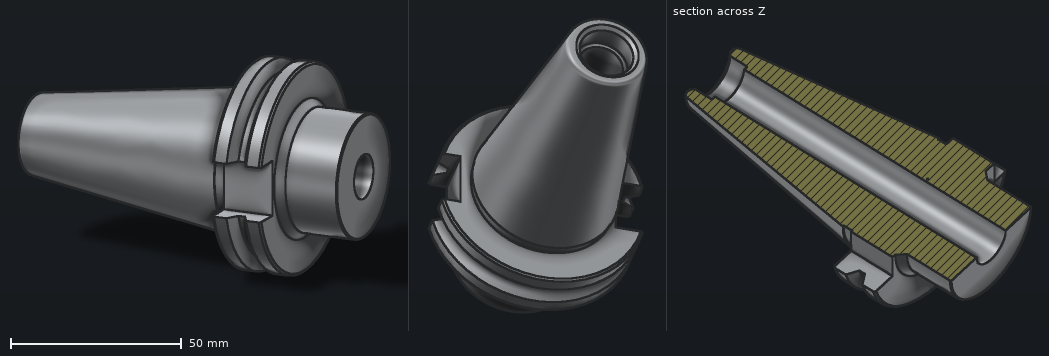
import cadquery as cq
import math

total_length = 106.4
taper_end = 68.4
flange_start = 71.6
flange_end = 87.3
shoulder_end = 89.8

gauge_diameter = 44.5
nose_diameter = 24.3
nose_fillet = 1.8
neck_diameter = 43.6

flange_diameter = 63.2
flange_chamfer = 0.6
groove_floor_diameter = 56.0
groove_center = (flange_start + flange_end) / 2
groove_floor_width = 2.1
groove_flank_angle = 60.0

slot_width = 16.6
front_slot_floor = 22.2
back_slot_floor = 24.9

hub_diameter = 37.4
shoulder_diameter = 41.9
hub_chamfer = 0.3

mouth_diameter = 18.9
pilot_diameter = 16.3
mouth_chamfer_depth = 1.1
pilot_depth = 7.5
through_diameter = 13.4


def disc(start, end, diameter):
    """Cylinder along X between two stations."""
    return cq.Workplane("YZ").workplane(offset=start).circle(diameter / 2).extrude(end - start)


def cone(start, end, start_diameter, end_diameter):
    """Truncated cone along X between two stations."""
    profile = [
        (start, 0),
        (start, start_diameter / 2),
        (end, end_diameter / 2),
        (end, 0),
    ]
    return cq.Workplane("XY").polyline(profile).close().revolve(360, (0, 0, 0), (1, 0, 0))


def make_shank():
    taper = cone(0, taper_end, nose_diameter, gauge_diameter)
    taper = taper.faces("<X").edges().fillet(nose_fillet)
    return taper.union(disc(taper_end, flange_start, neck_diameter))


def make_groove():
    floor_radius = groove_floor_diameter / 2
    rim_radius = flange_diameter / 2
    half_floor = groove_floor_width / 2
    flank_run = (rim_radius - floor_radius) / math.tan(math.radians(groove_flank_angle))
    half_mouth = half_floor + flank_run
    profile = [
        (groove_center - half_floor, floor_radius),
        (groove_center + half_floor, floor_radius),
        (groove_center + half_mouth, rim_radius),
        (groove_center - half_mouth, rim_radius),
    ]
    return cq.Workplane("XY").polyline(profile).close().revolve(360, (0, 0, 0), (1, 0, 0))


def make_slot(floor, side):
    """Flat-floored slot; side is -1 for -Y and +1 for +Y."""
    depth = flange_diameter / 2 - floor
    return cq.Workplane("XY").box(flange_end - flange_start, depth, slot_width).translate(
        ((flange_start + flange_end) / 2, side * (floor + depth / 2), 0)
    )


def make_flange():
    flange = disc(flange_start, flange_end, flange_diameter).edges().chamfer(flange_chamfer)
    flange = flange.cut(make_groove())
    flange = flange.cut(make_slot(front_slot_floor, -1))
    return flange.cut(make_slot(back_slot_floor, 1))


def make_hub():
    hub = disc(flange_end, total_length, hub_diameter).faces(">X").edges().chamfer(hub_chamfer)
    return hub.union(cone(flange_end, shoulder_end, shoulder_diameter, hub_diameter))


def make_bore():
    bore = disc(0, total_length, through_diameter)
    bore = bore.union(disc(0, pilot_depth, pilot_diameter))
    return bore.union(cone(0, mouth_chamfer_depth, mouth_diameter, pilot_diameter))


result = make_shank().union(make_flange()).union(make_hub()).cut(make_bore())